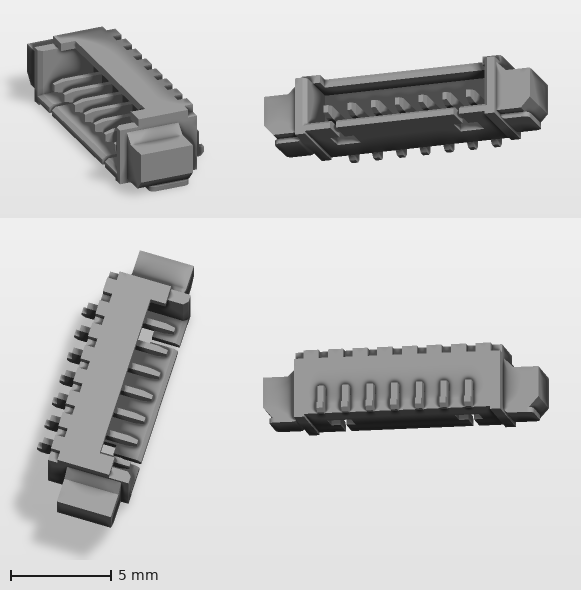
import cadquery as cq


overall_length = 14.0
body_length = 10.5
body_depth = 4.21
body_height = 3.4
roof_thickness = 0.42
roof_setback = 1.02
roof_cutout_length = 8.57
roof_cutout_depth = 1.8
foot_width = 0.52
foot_height = 0.14

cavity_length = 9.31
cavity_depth = 2.97
floor_top = 0.59
mouth_flare = 0.21
floor_flare = 0.15
cavity_top = body_height - roof_thickness

slot_offset = 3.25
slot_width = 0.3
window_start = 1.44
window_end = 2.55
window_width = 1.22

pin_count = 7
pin_row_length = 7.5
pin_pitch = pin_row_length / (pin_count - 1)
pin_width = 0.32
pin_bottom = 1.01
pin_height = 0.63
pin_front = 0.38
pin_tip_length = 0.52
pin_tip_width = 0.22
pin_tip_height = 0.38
tail_top = 1.39
tail_reach = 0.98
tail_outer = 0.71
tail_inner = 0.2
tail_toe_top = 0.5
tail_chamfer = 0.2
tail_bend = 0.08

notch_width = 0.49
notch_depth = 0.49

ear_front = 0.38
ear_depth = 2.83
ear_top = 2.32
ear_bottom = 0.25
ear_slope_length = 0.49
ear_slope_top = 2.8
ear_chamfer_length = 0.48
ear_chamfer_top = 0.78
nail_tip = 6.72
nail_front = 1.02
nail_depth = ear_front + ear_depth - nail_front
nail_corner_radius = 0.3
nail_thickness = ear_bottom

overlap = 0.14
side_signs = (-1, 1)
pin_positions = [(i - (pin_count - 1) / 2) * pin_pitch for i in range(pin_count)]


def block(x_size, y_start, y_end, z_start, z_end, x_middle=0.0):
    """Box centred on x_middle and placed by its Y and Z limits."""
    return (
        cq.Workplane("XY")
        .box(x_size, y_end - y_start, z_end - z_start, centered=(True, False, False))
        .translate((x_middle, y_start, z_start))
    )


def make_cavity():
    """Mating cavity with its flared mouth."""
    cavity = block(cavity_length, 0, cavity_depth, floor_top, cavity_top)
    mouth_length = cavity_length + 2 * mouth_flare
    mouth_height = cavity_top - floor_top + floor_flare
    flare = (
        cq.Workplane("XZ")
        .center(0, cavity_top - mouth_height / 2)
        .rect(mouth_length, mouth_height)
        .workplane(offset=-mouth_flare)
        .center(0, floor_flare / 2)
        .rect(cavity_length, cavity_top - floor_top)
        .loft(ruled=True)
    )
    return cavity.union(flare)


def make_housing():
    """Hollow housing with a stepped roof, feet, floor slots and notches."""
    housing = block(body_length, 0, body_depth, 0, body_height)
    housing = housing.cut(make_cavity())

    housing = housing.cut(block(body_length, 0, roof_setback, cavity_top, body_height))
    housing = housing.cut(block(roof_cutout_length, 0, roof_cutout_depth, cavity_top, body_height))

    housing = housing.cut(block(body_length - 2 * foot_width, 0, body_depth, 0, foot_height))

    for side in side_signs:
        slot_x = side * slot_offset
        housing = housing.cut(block(slot_width, 0, window_start, 0, floor_top, slot_x))
        housing = housing.cut(block(window_width, window_start, window_end, 0, floor_top, slot_x))

    corner_x = (body_length - notch_width) / 2
    for notch_x in [-corner_x] + pin_positions + [corner_x]:
        notch = block(notch_width, body_depth - notch_depth, body_depth, cavity_top, body_height, notch_x)
        housing = housing.cut(notch)
    return housing


def make_contact():
    """One contact: tapered pin in the cavity and a bent tail behind."""
    taper_start = pin_front + pin_tip_length
    pin = block(pin_width, taper_start, cavity_depth + overlap, pin_bottom, pin_bottom + pin_height)
    tip = (
        cq.Workplane("XZ", origin=(0, taper_start, pin_bottom + pin_height / 2))
        .rect(pin_width, pin_height)
        .workplane(offset=pin_tip_length)
        .rect(pin_tip_width, pin_tip_height)
        .loft(ruled=True)
    )
    tail = (
        cq.Workplane("YZ", origin=(-pin_width / 2, body_depth, 0))
        .moveTo(-overlap, tail_top)
        .lineTo(tail_outer, tail_top)
        .lineTo(tail_outer, tail_toe_top)
        .lineTo(tail_reach, tail_toe_top)
        .lineTo(tail_reach, tail_chamfer)
        .lineTo(tail_reach - tail_chamfer, 0)
        .lineTo(tail_inner + tail_chamfer, 0)
        .lineTo(tail_inner, tail_chamfer)
        .lineTo(tail_inner, pin_bottom - tail_bend)
        .lineTo(tail_inner - tail_bend, pin_bottom)
        .lineTo(-overlap, pin_bottom)
        .close()
        .extrude(pin_width)
    )
    return pin.union(tip).union(tail)


def make_ear():
    """Right-hand ear with its solder nail."""
    wall = body_length / 2
    outer = overall_length / 2
    ear = (
        cq.Workplane("XZ", origin=(0, ear_front, 0))
        .moveTo(wall - overlap, ear_bottom)
        .lineTo(outer - ear_chamfer_length, ear_bottom)
        .lineTo(outer, ear_chamfer_top)
        .lineTo(outer, ear_top)
        .lineTo(wall + ear_slope_length, ear_top)
        .lineTo(wall, ear_slope_top)
        .lineTo(wall - overlap, ear_slope_top)
        .close()
        .extrude(-ear_depth)
    )
    nail = (
        cq.Workplane("XZ", origin=(0, nail_front, 0))
        .moveTo(wall, nail_thickness)
        .radiusArc((wall + nail_thickness, 0), -nail_thickness)
        .lineTo(nail_tip, 0)
        .lineTo(nail_tip, nail_thickness)
        .close()
        .extrude(-nail_depth)
        .edges("|Z and >X")
        .fillet(nail_corner_radius)
    )
    return ear.union(nail)


result = make_housing()

contact = make_contact()
for pin_x in pin_positions:
    result = result.union(contact.translate((pin_x, 0, 0)))

right_ear = make_ear()
result = result.union(right_ear).union(right_ear.mirror("YZ"))